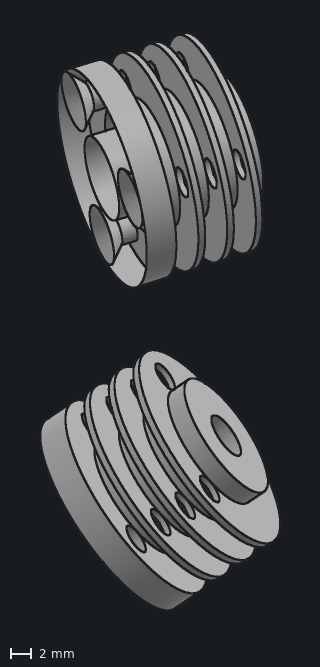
import cadquery as cq

outer_diameter = 22.0
body_diameter = 13.0
total_length = 14.1
flange_thickness = 3.1

fin_count = 3
fin_thickness = 0.7
fin_gap = 2.3
fin_pitch = fin_thickness + fin_gap

bore_diameter = 8.5
outlet_diameter = 4.6
bore_floor_thickness = 2.0
bore_depth = total_length - bore_floor_thickness

screw_count = 3
screw_diameter = 3.0
countersink_diameter = 6.0
countersink_angle = 90.0
screw_circle_radius = (outer_diameter - countersink_diameter) / 2
first_screw_angle = -90.0


def disc(diameter, start, length):
    """Cylinder on the Y axis running from Y = start towards +Y."""
    plane = cq.Workplane("XZ", origin=(0, start, 0))
    return plane.circle(diameter / 2).extrude(-length)


def flanged_body():
    flange = disc(outer_diameter, 0, flange_thickness)
    return flange.union(disc(body_diameter, 0, total_length))


def add_fins(part):
    for index in range(fin_count):
        fin_start = flange_thickness + fin_gap + index * fin_pitch
        part = part.union(disc(outer_diameter, fin_start, fin_thickness))
    return part


def cut_bore(part):
    part = part.cut(disc(bore_diameter, 0, bore_depth))
    return part.cut(disc(outlet_diameter, 0, total_length))


def cut_screw_holes(part):
    """Countersinks open on the front face; the holes pass through the flange and all fins."""
    return (
        part.copyWorkplane(cq.Workplane("XZ"))
        .polarArray(screw_circle_radius, first_screw_angle, 360, screw_count)
        .cskHole(screw_diameter, countersink_diameter, countersink_angle)
    )


result = cut_screw_holes(cut_bore(add_fins(flanged_body())))